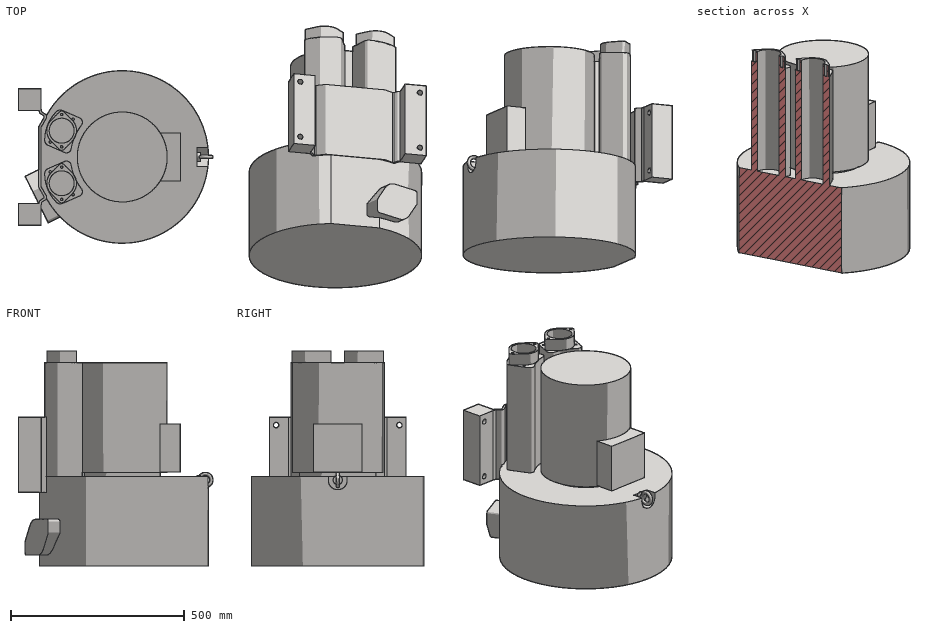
import cadquery as cq
import math

drum_radius = 249.5
drum_height = 259.5
drum_flat_x = -239.0
cut_margin = 6.0

neck_diameter = 220.0
motor_diameter = 260.0
motor_bottom = 270.0
motor_top = 588.0
terminal_box_reach = 168.0
terminal_box_width = 139.5
terminal_box_bottom = 272.0
terminal_box_top = 411.0

total_height = 622.0
pillar_x = -175.0
pillar_y = 76.0
pillar_inner_radius = 149.0
pillar_back_radius = 116.0
pillar_back_y = 49.0
pillar_width = 109.0
pillar_left_x = -224.0
pillar_inner_fillet = 13.5
pillar_outer_fillet = 16.0
port_bore = 72.0
port_radius = 43.0
port_ear_radius = 10.0
bolt_circle_radius = 46.5
bolt_hole_diameter = 7.0
pillar_bolt_angles = (45, 225)
port_bolt_angles = (90, 270)
bolt_hole_depth = total_height - motor_top

bracket_bottom = 213.5
bracket_top = 430.5
block_left_x = -300.0
block_right_x = -234.5
block_inner_y = 134.0
block_outer_y = 197.0
block_hole_diameter = 15.0
block_hole_y = 178.0
block_hole_inset = 23.0
plate_thickness = 7.0
plate_x = -237.5
plate_half_width = 87.0
plate_crest_x = -222.5
plate_crest_low_y = 112.5
plate_crest_high_y = 120.0
plate_return_x = -236.0
plate_return_y = 129.0

cover_angle = 206.5
cover_face_radius = 276.0
cover_half_length = 75.0
cover_bottom = 32.0
cover_top = 135.5
cover_top_corner = 32.0
cover_side_drop = 12.5
cover_large_fillet = 46.5
cover_small_fillet = 8.0

recess_inner_x = 215.0
recess_width = 55.0
recess_depth = 38.5
eye_tube_diameter = 10.0
eye_outer_radius = 22.5
eye_center_x = 240.0
eye_center_z = 249.0
eye_boss_diameter = 27.0
eye_boss_end_x = 226.5


def cylinder(radius, bottom, top):
    return cq.Workplane("XY").workplane(offset=bottom).circle(radius).extrude(top - bottom)


def block(x_range, y_range, z_range):
    size = [high - low for low, high in (x_range, y_range, z_range)]
    corner = (x_range[0], y_range[0], z_range[0])
    return cq.Workplane("XY").box(*size, centered=False).translate(corner)


def both_sides(solid):
    return solid.union(solid.mirror("XZ"))


def make_drum():
    flat_cutter = block((-2 * drum_radius, drum_flat_x), (-drum_radius, drum_radius), (0, drum_height))
    recess_radius = recess_width / 2
    recess_center_z = drum_height - recess_depth + recess_radius
    recess_end_x = drum_radius + cut_margin
    recess = (
        cq.Workplane("YZ", origin=(recess_inner_x, 0, recess_center_z))
        .circle(recess_radius)
        .extrude(recess_end_x - recess_inner_x)
        .union(block(
            (recess_inner_x, recess_end_x),
            (-recess_radius, recess_radius),
            (recess_center_z, drum_height + cut_margin),
        ))
    )
    return cylinder(drum_radius, 0, drum_height).cut(flat_cutter).cut(recess)


def make_motor():
    neck = cylinder(neck_diameter / 2, drum_height, motor_bottom)
    body = cylinder(motor_diameter / 2, motor_bottom, motor_top)
    half_width = terminal_box_width / 2
    terminal_box = block(
        (0, terminal_box_reach),
        (-half_width, half_width),
        (terminal_box_bottom, terminal_box_top),
    )
    return neck.union(body).union(terminal_box)


def bolt_holes(angles, top):
    """Blind holes on the bolt circle of the port, drilled down from the given height."""
    points = [
        (
            pillar_x + bolt_circle_radius * math.cos(math.radians(angle)),
            pillar_y + bolt_circle_radius * math.sin(math.radians(angle)),
        )
        for angle in angles
    ]
    return (
        cq.Workplane("XY")
        .workplane(offset=top - bolt_hole_depth)
        .pushPoints(points)
        .circle(bolt_hole_diameter / 2)
        .extrude(bolt_hole_depth)
    )


def make_pillar():
    """Post with parallel sides along the radial line through the port.

    Its front is hollowed to clear the motor and its back is one round stretch.
    """
    height = motor_top - drum_height
    radial_angle = math.degrees(math.atan2(pillar_y, pillar_x))
    band = (
        cq.Workplane("XY")
        .box(drum_radius, pillar_width, height, centered=(False, True, False))
        .translate((0, 0, drum_height))
        .rotate((0, 0, 0), (0, 0, 1), radial_angle)
    )
    back = cylinder(pillar_back_radius, drum_height, motor_top).translate(
        (pillar_left_x + pillar_back_radius, pillar_back_y, 0)
    )
    motor_clearance = cylinder(pillar_inner_radius, drum_height, motor_top)
    pillar = band.intersect(back).cut(motor_clearance)
    inner_edges = cq.selectors.BoxSelector(
        (-pillar_inner_radius, 0, drum_height), (-pillar_inner_radius / 2, drum_radius, motor_top)
    )
    outer_edges = cq.selectors.BoxSelector(
        (-drum_radius, 0, drum_height), (-pillar_inner_radius, drum_radius, motor_top)
    )
    pillar = pillar.edges("|Z").edges(inner_edges).fillet(pillar_inner_fillet)
    pillar = pillar.edges("|Z").edges(outer_edges).fillet(pillar_outer_fillet)
    return pillar


def make_port():
    """Round neck with two bolt ears; tangent sides join the ears to the neck."""
    lean = math.acos((port_radius - port_ear_radius) / bolt_circle_radius)
    port_tangent = (port_radius * math.sin(lean), port_radius * math.cos(lean))
    ear_tangent = (
        port_ear_radius * math.sin(lean),
        bolt_circle_radius + port_ear_radius * math.cos(lean),
    )
    ear_tip = bolt_circle_radius + port_ear_radius
    return (
        cq.Workplane("XY", origin=(pillar_x, pillar_y, motor_top))
        .moveTo(port_tangent[0], -port_tangent[1])
        .threePointArc((port_radius, 0), port_tangent)
        .lineTo(*ear_tangent)
        .threePointArc((0, ear_tip), (-ear_tangent[0], ear_tangent[1]))
        .lineTo(-port_tangent[0], port_tangent[1])
        .threePointArc((-port_radius, 0), (-port_tangent[0], -port_tangent[1]))
        .lineTo(-ear_tangent[0], -ear_tangent[1])
        .threePointArc((0, -ear_tip), (ear_tangent[0], -ear_tangent[1]))
        .close()
        .extrude(total_height - motor_top)
    )


def make_ported_pillar():
    bore = cylinder(port_bore / 2, drum_height, total_height).translate((pillar_x, pillar_y, 0))
    return (
        make_pillar()
        .cut(bolt_holes(pillar_bolt_angles, motor_top))
        .union(make_port())
        .cut(bore)
        .cut(bolt_holes(port_bolt_angles, total_height))
    )


def make_bracket():
    """Bent plate against the drum flat with a drilled block at each end."""
    height = bracket_top - bracket_bottom
    half_path = [
        (plate_x, plate_half_width),
        (plate_crest_x, plate_crest_low_y),
        (plate_crest_x, plate_crest_high_y),
        (plate_return_x, plate_return_y),
        (plate_x, block_inner_y + plate_thickness),
    ]
    path = [(x, -y) for x, y in reversed(half_path)] + half_path
    plate = (
        cq.Workplane("XY")
        .workplane(offset=bracket_bottom)
        .polyline(path)
        .offset2D(plate_thickness / 2)
        .extrude(height)
    )
    hole_points = [
        (block_hole_y, z)
        for z in (bracket_bottom + block_hole_inset, bracket_top - block_hole_inset)
    ]
    holes = (
        cq.Workplane("YZ", origin=(block_left_x, 0, 0))
        .pushPoints(hole_points)
        .circle(block_hole_diameter / 2)
        .extrude(block_right_x - block_left_x)
    )
    end_block = block(
        (block_left_x, block_right_x),
        (block_inner_y, block_outer_y),
        (bracket_bottom, bracket_top),
    ).cut(holes)
    return plate.union(both_sides(end_block))


def make_cover():
    """Six-sided cover, point-symmetric about its centre, standing on the drum side."""
    half_height = (cover_top - cover_bottom) / 2
    half_outline = [
        (cover_half_length, -half_height),
        (cover_half_length, -cover_side_drop),
        (cover_top_corner, half_height),
    ]
    outline = half_outline + [(-x, -z) for x, z in half_outline]
    inner_radius = drum_radius / 2
    cover = (
        cq.Workplane("YZ", origin=(inner_radius, 0, cover_bottom + half_height))
        .polyline([(-t, z) for t, z in outline])
        .close()
        .extrude(cover_face_radius - inner_radius)
    )
    large_corners = [(-cover_top_corner, half_height), (cover_top_corner, -half_height)]
    for y, z in large_corners:
        selector = cq.selectors.NearestToPointSelector(
            ((inner_radius + cover_face_radius) / 2, y, cover_bottom + half_height + z)
        )
        cover = cover.edges("|X").edges(selector).fillet(cover_large_fillet)
    for side in ("<Y", ">Y"):
        cover = cover.faces(side).edges("|X").fillet(cover_small_fillet)
    return cover.rotate((0, 0, 0), (0, 0, 1), cover_angle)


def make_lifting_eye():
    tube_radius = eye_tube_diameter / 2
    ring = cq.Workplane(
        cq.Solid.makeTorus(
            eye_outer_radius - tube_radius,
            tube_radius,
            cq.Vector(eye_center_x, 0, eye_center_z),
            cq.Vector(0, 1, 0),
        )
    )
    boss = (
        cq.Workplane("YZ", origin=(recess_inner_x, 0, eye_center_z))
        .circle(eye_boss_diameter / 2)
        .extrude(eye_boss_end_x - recess_inner_x)
    )
    return ring.union(boss)


result = (
    make_drum()
    .union(make_motor())
    .union(both_sides(make_ported_pillar()))
    .union(make_bracket())
    .union(make_cover())
    .union(make_lifting_eye())
)